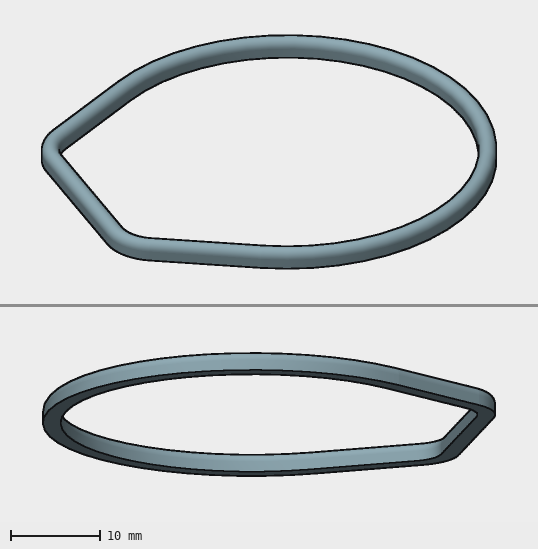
import cadquery as cq
import math

outer_radius = 23.5
ring_width = 2.0
ring_height = 2.2
flat_distance = 25.84
side_angle = 31.0
corner_radius = 5.0

crown_radius = ring_width / 2
wall_height = ring_height - crown_radius
arc_radius = outer_radius - crown_radius
front_y = crown_radius - flat_distance
cos_side = math.cos(math.radians(side_angle))
sin_side = math.sin(math.radians(side_angle))

corner_y = front_y + corner_radius
corner_x = (arc_radius - corner_radius + corner_y * sin_side) / cos_side


def ring_path():
    """Closed centreline: large arc, two tangent sides, two rounded corners, front bar."""
    side_start = (arc_radius * cos_side, -arc_radius * sin_side)
    side_end = (corner_x + corner_radius * cos_side, corner_y - corner_radius * sin_side)
    mid_angle = math.radians((90 + side_angle) / 2)
    corner_mid = (
        corner_x + corner_radius * math.cos(mid_angle),
        corner_y - corner_radius * math.sin(mid_angle),
    )

    def mirrored(point):
        return (-point[0], point[1])

    return (
        cq.Workplane("XY")
        .moveTo(0, front_y)
        .lineTo(corner_x, front_y)
        .threePointArc(corner_mid, side_end)
        .lineTo(*side_start)
        .threePointArc((0, arc_radius), mirrored(side_start))
        .lineTo(*mirrored(side_end))
        .threePointArc(mirrored(corner_mid), (-corner_x, front_y))
        .close()
    )


def ring_section():
    """Flat-bottomed cross-section with straight walls and a half-round crown."""
    return (
        cq.Workplane("YZ")
        .moveTo(front_y - crown_radius, 0)
        .lineTo(front_y + crown_radius, 0)
        .lineTo(front_y + crown_radius, wall_height)
        .threePointArc((front_y, ring_height), (front_y - crown_radius, wall_height))
        .close()
    )


result = ring_section().sweep(ring_path())